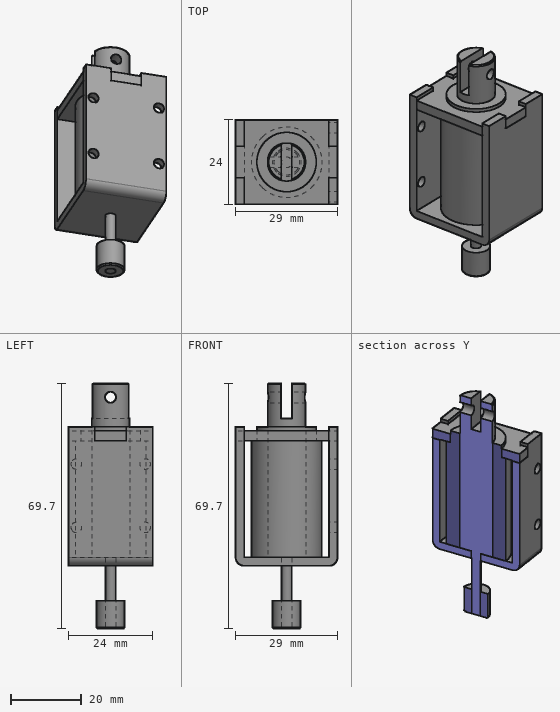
import cadquery as cq

frame_width = 29.0
frame_depth = 24.0
frame_height = 39.45
wall = 2.5
mount_hole_diameter = 3.0
mount_hole_spacing_y = 19.5
mount_hole_spacing_z = 18.0
lower_mount_hole_z = 11.0

plate_thickness = 2.9
plate_recess = 1.05
tab_width = 9.0

coil_diameter = 20.0
neck_diameter = 16.9

plunger_diameter = 10.8
plunger_rise = 12.4
plunger_chamfer = 0.35
slot_width = 3.1
slot_depth = 10.0
pin_hole_diameter = 3.1
pin_hole_drop = 4.0
rod_diameter = 3.0
rod_exposed = 9.8

bumper_diameter = 8.0
bumper_height = 8.0
bumper_chamfer = 0.4

inner_width = frame_width - 2 * wall
plate_top = frame_height - plate_recess
plate_bottom = plate_top - plate_thickness
plunger_top = frame_height + plunger_rise
bumper_top = -rod_exposed
bumper_bottom = bumper_top - bumper_height


def block(width, depth, bottom, top):
    """Box centred on the Z axis between two heights."""
    return cq.Workplane("XY").workplane(offset=bottom).rect(width, depth).extrude(top - bottom)


def cylinder(diameter, bottom, top):
    """Cylinder on the Z axis between two heights."""
    return cq.Workplane("XY").workplane(offset=bottom).circle(diameter / 2).extrude(top - bottom)


def make_frame():
    bracket = block(frame_width, frame_depth, 0, frame_height)
    bracket = bracket.edges("|Y and <Z").fillet(wall)
    bracket = bracket.cut(block(inner_width, frame_depth, wall, frame_height))
    tab_notches = block(frame_width, tab_width, plate_bottom, frame_height)
    bracket = bracket.cut(tab_notches).cut(cylinder(rod_diameter, 0, wall))

    hole_places = [
        (side * mount_hole_spacing_y / 2, lower_mount_hole_z + row * mount_hole_spacing_z)
        for side in (-1, 1)
        for row in (0, 1)
    ]
    mount_holes = (
        cq.Workplane("YZ")
        .workplane(offset=inner_width / 2)
        .pushPoints(hole_places)
        .circle(mount_hole_diameter / 2)
        .extrude(wall)
    )
    return bracket.cut(mount_holes)


def make_plate():
    plate = block(inner_width, frame_depth, plate_bottom, plate_top)
    tabs = block(frame_width, tab_width, plate_bottom, plate_top)
    neck_hole = cylinder(neck_diameter, plate_bottom, plate_top)
    return plate.union(tabs).cut(neck_hole)


def make_coil():
    winding = cylinder(coil_diameter, wall, plate_bottom)
    neck = cylinder(neck_diameter, plate_bottom, frame_height)
    bore = cylinder(plunger_diameter, wall, frame_height)
    return winding.union(neck).cut(bore)


def make_plunger():
    head = cylinder(plunger_diameter, wall, plunger_top)
    head = head.faces(">Z").chamfer(plunger_chamfer)
    slot = block(slot_width, plunger_diameter, plunger_top - slot_depth, plunger_top)
    pin_hole = (
        cq.Workplane("YZ")
        .center(0, plunger_top - pin_hole_drop)
        .circle(pin_hole_diameter / 2)
        .extrude(plunger_diameter / 2, both=True)
    )
    rod = cylinder(rod_diameter, bumper_bottom, wall)
    return head.cut(slot).cut(pin_hole).union(rod)


def make_bumper():
    bumper = cylinder(bumper_diameter, bumper_bottom, bumper_top)
    bumper = bumper.faces("<Z").chamfer(bumper_chamfer)
    return bumper.cut(cylinder(rod_diameter, bumper_bottom, bumper_top))


frame = make_frame()
plate = make_plate()
coil = make_coil()
plunger = make_plunger()
bumper = make_bumper()

result = cq.Compound.makeCompound(
    [frame.val(), plate.val(), coil.val(), plunger.val(), bumper.val()]
)